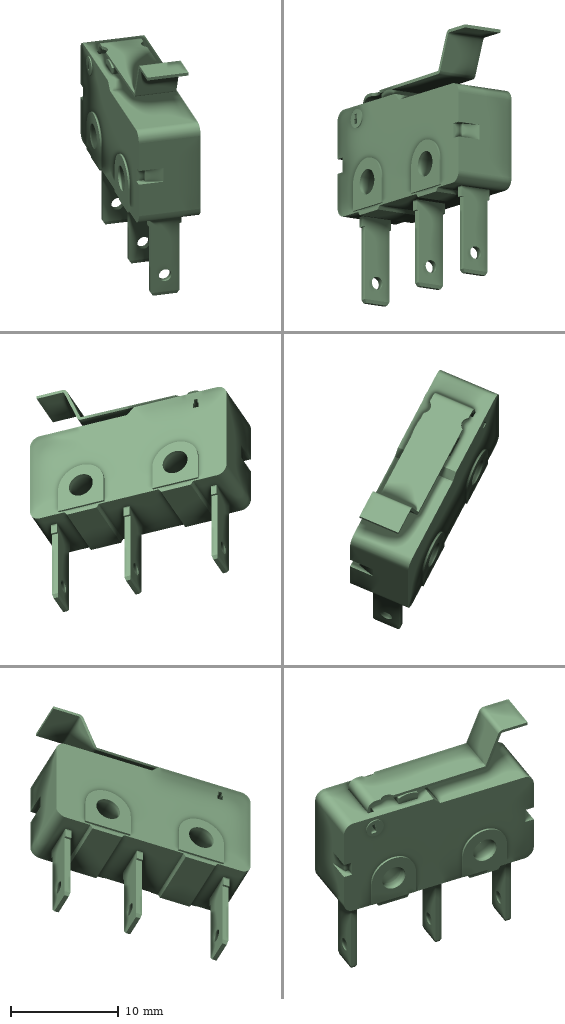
import cadquery as cq
import math


OVERALL_HEIGHT = 23.31

BODY_LEFT = -5.1
BODY_LENGTH = 19.8
BODY_RIGHT = BODY_LEFT + BODY_LENGTH
BODY_THICKNESS = 6.0
FRONT_Y = -BODY_THICKNESS / 2
BODY_BOTTOM = -2.55
BODY_TOP = 7.65
STEP_START_X = 4.25
STEP_HEIGHT = 0.7
CORNER_RADIUS = 1.0

HOLE_SPACING = 9.5
HOLE_DIAMETER = 2.4
LEFT_HOLE_BACK_DIAMETER = 2.5
LEFT_HOLE_LIP = 0.95
PAD_RADIUS = 2.3
PAD_BOTTOM = -2.4
PAD_HEIGHT = 0.2

FOOT_HEIGHT = 0.35
FOOT_TOP_HALF_WIDTH = 1.72
FOOT_BOTTOM_HALF_WIDTH = 1.5

RECESS_BOTTOM = 1.7
RECESS_TOP = 3.1
RECESS_DEPTH_X = 0.85
RAMP_DEPTH_X = 0.5
RECESS_FRONT_Y = 0.75
RECESS_TOTAL_Y = 2.38

TERMINAL_CENTRES = (-3.24, 5.56, 12.85)
TERMINAL_THICKNESS = 0.6
SHOULDER_WIDTH = 3.2
SHOULDER_BOTTOM = -3.53
BLADE_WIDTH = 2.75
BLADE_TIP = -10.76
TIP_LENGTH = 0.33
TIP_TAPER_X = 0.08
TIP_TAPER_Y = 0.2
EYE_DIAMETER = 1.2
EYE_Z = -8.75

LEVER_THICKNESS = 0.3
LEVER_WIDTH = 4.0
LEVER_Y = -0.12
LEG_X = -2.05
LEG_BOTTOM = 6.05
ARM_START_Z = 8.6
KINK_X = 10.2
KINK_Z = 8.75
CREST_X = 11.67
LEVER_TOP = BLADE_TIP + OVERALL_HEIGHT
LEVER_END_X = 14.5
CREST_Z = LEVER_TOP - LEVER_THICKNESS / 2
BASE_BEND_RADIUS = 0.55
KINK_BEND_RADIUS = 0.1
CREST_BEND_RADIUS = 0.22
NOTCH_X = -0.17
NOTCH_RADIUS = 0.77
NOTCH_DEPTH = 0.36

SLOT_LEFT = LEG_X - LEVER_THICKNESS / 2
SLOT_RIGHT = -1.57
SLOT_WIDTH = 4.2
WINDOW_BOTTOM = 5.9
WINDOW_STEP = 6.4
WINDOW_TOP = 6.85
WINDOW_UPPER = (-2.2, -1.82)
WINDOW_LOWER = (-2.3, -1.74)
BADGE_DIAMETER = 1.8
BADGE_X = -1.9
BADGE_HEIGHT = 0.1

PLUNGER_LEFT = 1.0
PLUNGER_RIGHT = 3.0
PLUNGER_FRONT = -2.25
PLUNGER_BACK = 1.8
PLUNGER_SHOULDER = 8.3
PLUNGER_CROWN = 8.55


def block(x_range, y_range, z_range):
    """Axis-aligned box given by its limits."""
    size = [high - low for low, high in (x_range, y_range, z_range)]
    corner = (x_range[0], y_range[0], z_range[0])
    return cq.Workplane("XY").box(*size, centered=False).translate(corner)


def through_y(sketch, thickness, middle=0):
    """Extrude an XZ outline to a given thickness about a middle Y."""
    return sketch.extrude(thickness / 2, both=True).translate((0, middle, 0))


def make_housing():
    low_top = BODY_TOP - STEP_HEIGHT
    outline = cq.Workplane("XZ").polyline([
        (BODY_LEFT, BODY_BOTTOM),
        (BODY_RIGHT, BODY_BOTTOM),
        (BODY_RIGHT, low_top),
        (STEP_START_X + STEP_HEIGHT, low_top),
        (STEP_START_X, BODY_TOP),
        (BODY_LEFT, BODY_TOP),
    ]).close()
    housing = through_y(outline, BODY_THICKNESS)
    end_edges = housing.faces("<X or >X").edges("|Y")
    return end_edges.fillet(CORNER_RADIUS)


def make_pad(hole_x):
    thickness = BODY_THICKNESS + 2 * PAD_HEIGHT
    outline = (
        cq.Workplane("XZ")
        .moveTo(hole_x - PAD_RADIUS, PAD_BOTTOM)
        .lineTo(hole_x + PAD_RADIUS, PAD_BOTTOM)
        .lineTo(hole_x + PAD_RADIUS, 0)
        .threePointArc((hole_x, PAD_RADIUS), (hole_x - PAD_RADIUS, 0))
        .close()
    )
    return through_y(outline, thickness)


def make_foot(hole_x):
    foot_bottom = BODY_BOTTOM - FOOT_HEIGHT
    outline = cq.Workplane("XZ").polyline([
        (hole_x - FOOT_TOP_HALF_WIDTH, BODY_BOTTOM),
        (hole_x - FOOT_BOTTOM_HALF_WIDTH, foot_bottom),
        (hole_x + FOOT_BOTTOM_HALF_WIDTH, foot_bottom),
        (hole_x + FOOT_TOP_HALF_WIDTH, BODY_BOTTOM),
    ]).close()
    return through_y(outline, BODY_THICKNESS)


def make_hole(hole_x):
    outline = cq.Workplane("XZ").center(hole_x, 0).circle(HOLE_DIAMETER / 2)
    return through_y(outline, 2 * BODY_THICKNESS)


def make_left_hole_back():
    lip_end_y = FRONT_Y - PAD_HEIGHT + LEFT_HOLE_LIP
    outline = cq.Workplane("XZ", origin=(0, lip_end_y, 0)).circle(LEFT_HOLE_BACK_DIAMETER / 2)
    return outline.extrude(-BODY_THICKNESS)


def make_recess(end_x, inward):
    """Recess at one end: square next to the front, then a ramp running out to the end face."""
    square_y = FRONT_Y + RECESS_FRONT_Y
    ramp_end_y = FRONT_Y + RECESS_TOTAL_Y
    outline = cq.Workplane("XY").polyline([
        (end_x, FRONT_Y),
        (end_x + inward * RECESS_DEPTH_X, FRONT_Y),
        (end_x + inward * RECESS_DEPTH_X, square_y),
        (end_x + inward * RAMP_DEPTH_X, square_y),
        (end_x, ramp_end_y),
    ]).close()
    return outline.extrude(RECESS_TOP - RECESS_BOTTOM).translate((0, 0, RECESS_BOTTOM))


def make_badge():
    disc = cq.Workplane("XZ").center(BADGE_X, WINDOW_STEP).circle(BADGE_DIAMETER / 2)
    return disc.extrude(BADGE_HEIGHT).translate((0, FRONT_Y, 0))


def make_lever_opening():
    full_depth = (-BODY_THICKNESS, BODY_THICKNESS)
    slot_y = (LEVER_Y - SLOT_WIDTH / 2, LEVER_Y + SLOT_WIDTH / 2)
    slot = block((SLOT_LEFT, SLOT_RIGHT), slot_y, (WINDOW_BOTTOM, BODY_TOP))
    upper = block(WINDOW_UPPER, full_depth, (WINDOW_STEP, WINDOW_TOP))
    lower = block(WINDOW_LOWER, full_depth, (WINDOW_BOTTOM, WINDOW_STEP))
    return slot.union(upper).union(lower)


def make_terminal(centre_x):
    tip_base = BLADE_TIP + TIP_LENGTH
    half_thickness = TERMINAL_THICKNESS / 2
    x_range = (centre_x - half_thickness, centre_x + half_thickness)
    shoulder_y = (-SHOULDER_WIDTH / 2, SHOULDER_WIDTH / 2)
    blade_y = (-BLADE_WIDTH / 2, BLADE_WIDTH / 2)
    shoulder = block(x_range, shoulder_y, (SHOULDER_BOTTOM, BODY_BOTTOM))
    blade = block(x_range, blade_y, (tip_base, SHOULDER_BOTTOM))
    tip = (
        cq.Workplane("XY", origin=(centre_x, 0, BLADE_TIP))
        .rect(TERMINAL_THICKNESS - 2 * TIP_TAPER_X, BLADE_WIDTH - 2 * TIP_TAPER_Y)
        .workplane(offset=TIP_LENGTH)
        .rect(TERMINAL_THICKNESS, BLADE_WIDTH)
        .loft(ruled=True)
    )
    eye = (
        cq.Workplane("YZ", origin=(centre_x, 0, EYE_Z))
        .circle(EYE_DIAMETER / 2)
        .extrude(TERMINAL_THICKNESS, both=True)
    )
    return shoulder.union(blade).union(tip).cut(eye)


def offset_path(path, distance):
    """Open polyline moved sideways by a distance (positive = left of travel), with mitred corners."""
    headings = [math.atan2(b[1] - a[1], b[0] - a[0]) for a, b in zip(path, path[1:])]
    before = [headings[0]] + headings
    after = headings + [headings[-1]]
    moved = []
    for (x, z), first, second in zip(path, before, after):
        heading = (first + second) / 2
        reach = distance / math.cos((second - first) / 2)
        moved.append((x - reach * math.sin(heading), z + reach * math.cos(heading)))
    return moved


def make_lever():
    path = [
        (LEG_X, LEG_BOTTOM),
        (LEG_X, ARM_START_Z),
        (KINK_X, KINK_Z),
        (CREST_X, CREST_Z),
        (LEVER_END_X, CREST_Z),
    ]
    left_side = offset_path(path, LEVER_THICKNESS / 2)
    right_side = offset_path(path, -LEVER_THICKNESS / 2)
    outline = cq.Workplane("XZ").polyline(left_side + right_side[::-1]).close()
    lever = through_y(outline, LEVER_WIDTH, LEVER_Y)

    bends = (
        (1, right_side, left_side, BASE_BEND_RADIUS),
        (2, left_side, right_side, KINK_BEND_RADIUS),
        (3, right_side, left_side, CREST_BEND_RADIUS),
    )
    for index, inner_side, outer_side, inner_radius in bends:
        for side, radius in ((inner_side, inner_radius), (outer_side, inner_radius + LEVER_THICKNESS)):
            x, z = side[index]
            corner = cq.NearestToPointSelector((x, LEVER_Y, z))
            lever = lever.edges("|Y").edges(corner).fillet(radius)

    for direction in (-1, 1):
        edge_y = LEVER_Y + direction * LEVER_WIDTH / 2
        notch_y = edge_y + direction * (NOTCH_RADIUS - NOTCH_DEPTH)
        notch = (
            cq.Workplane("XY", origin=(NOTCH_X, notch_y, BODY_TOP))
            .circle(NOTCH_RADIUS)
            .extrude(LEVER_TOP - BODY_TOP)
        )
        lever = lever.cut(notch)
    return lever


def make_plunger():
    middle_x = (PLUNGER_LEFT + PLUNGER_RIGHT) / 2
    outline = (
        cq.Workplane("XZ")
        .moveTo(PLUNGER_LEFT, BODY_TOP)
        .lineTo(PLUNGER_RIGHT, BODY_TOP)
        .lineTo(PLUNGER_RIGHT, PLUNGER_SHOULDER)
        .threePointArc((middle_x, PLUNGER_CROWN), (PLUNGER_LEFT, PLUNGER_SHOULDER))
        .close()
    )
    middle_y = (PLUNGER_FRONT + PLUNGER_BACK) / 2
    return through_y(outline, PLUNGER_BACK - PLUNGER_FRONT, middle_y)


hole_centres = (0, HOLE_SPACING)

part = make_housing().union(make_badge())
for hole_x in hole_centres:
    part = part.union(make_pad(hole_x)).union(make_foot(hole_x))
for hole_x in hole_centres:
    part = part.cut(make_hole(hole_x))
part = part.cut(make_left_hole_back())
part = part.cut(make_recess(BODY_LEFT, 1)).cut(make_recess(BODY_RIGHT, -1))
part = part.cut(make_lever_opening())
for centre_x in TERMINAL_CENTRES:
    part = part.union(make_terminal(centre_x))
result = part.union(make_plunger()).union(make_lever())